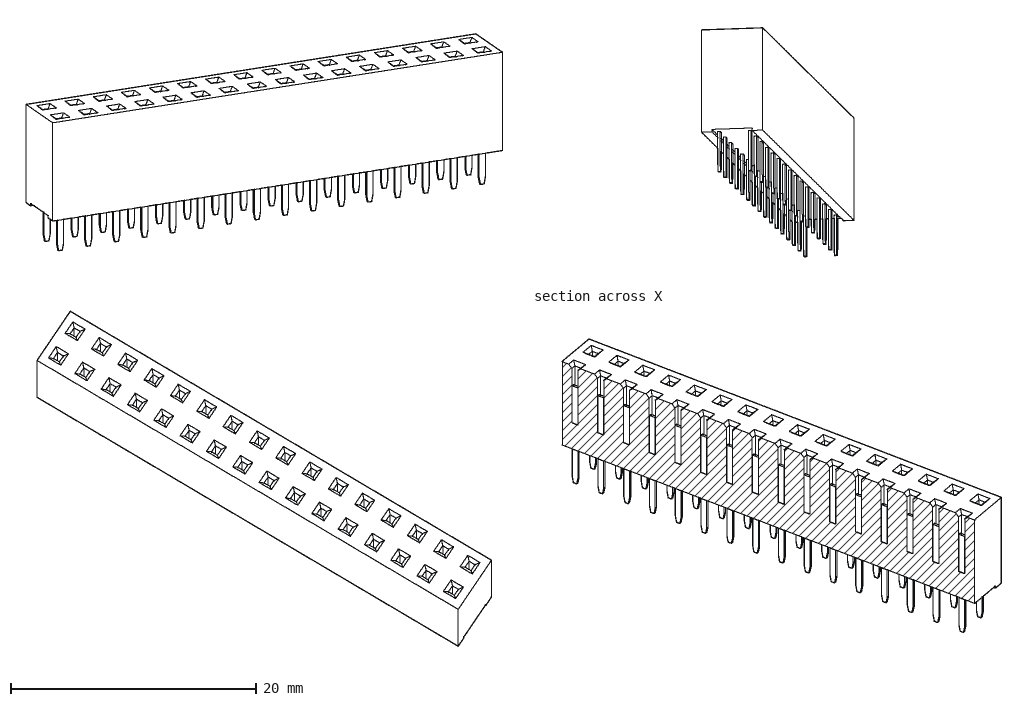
import cadquery as cq

rows = 16
columns = 2
length = 40.65
pitch = length / rows
width = columns * pitch
total_height = 11.6
body_height = 8.5

channel_width = 3.35
channel_depth = 0.2

pin_thickness = 0.2
pin_width = 0.55
tip_width = 0.33
tip_length = 0.6
contact_top_depth = 2.05

mouth_size = 1.18
shaft_size_x = 0.6
shaft_size_y = pin_width
funnel_depth = (mouth_size - shaft_size_y) / 2
socket_depth = 5.7

pin_bottom = body_height - total_height
contact_top = body_height - contact_top_depth


def at_every_position(shape):
    """Copies of a shape at every position of the socket grid."""
    grid = cq.Workplane("XY").rarray(pitch, pitch, columns, rows)
    return grid.eachpoint(lambda place: shape.val().moved(place))


def make_body():
    """Plain block with the channel cut along its underside."""
    block = cq.Workplane("XY").box(width, length, body_height, centered=(True, True, False))
    channel = cq.Workplane("XY").box(channel_width, length, channel_depth, centered=(True, True, False))
    return block.cut(channel)


def make_socket():
    """Cutter for one socket: funnel on top of a straight shaft."""
    top = cq.Workplane("XY").workplane(offset=body_height)
    funnel = (
        top.rect(mouth_size, mouth_size)
        .workplane(offset=-funnel_depth)
        .rect(shaft_size_x, shaft_size_y)
        .loft(ruled=True)
    )
    shaft = top.rect(shaft_size_x, shaft_size_y).extrude(-socket_depth)
    return funnel.union(shaft)


def make_pin():
    """One pin, from its tapered tip up to the contact inside the shaft."""
    outline = [
        (-tip_width / 2, pin_bottom),
        (tip_width / 2, pin_bottom),
        (pin_width / 2, pin_bottom + tip_length),
        (pin_width / 2, contact_top),
        (-pin_width / 2, contact_top),
        (-pin_width / 2, pin_bottom + tip_length),
    ]
    return cq.Workplane("YZ").polyline(outline).close().extrude(pin_thickness / 2, both=True)


sockets = at_every_position(make_socket())
pins = at_every_position(make_pin())
result = make_body().cut(sockets).union(pins)